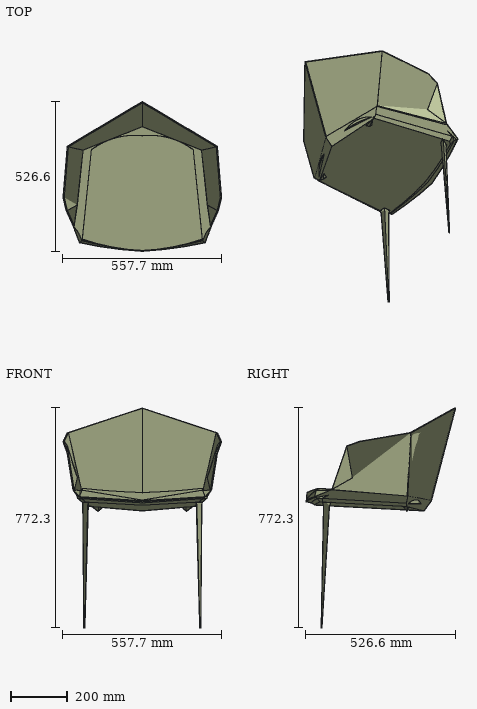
import cadquery as cq

WIDTH = 557.66
DEPTH = 526.59
HEIGHT = 772.32
HALF_WIDTH = WIDTH / 2
BACK_Y = DEPTH / 2
FRONT_Y = -DEPTH / 2

WALL_THICKNESS = 5.0
FOOT_SINK = 3.0

BACK_APEX = (0, BACK_Y, HEIGHT)
REAR_TIP = (264, 106, 685)
ARM_TIP = (HALF_WIDTH, -74, 654)
ARM_NOSE = (268, -119, 638)
ARM_FOOT = (244, -172, 486)
SIDE_DENT = (233, -100, 527)
REAR_FOOT = (212, 95, 463)
BACK_FOOT = (0, 178.5, 448)

PAN_RINGS = [
    [(0, 152, 455), (196, 92, 465), (224, -198, 483), (212, -226, 484), (0, -261.5, 449)],
    [BACK_FOOT, REAR_FOOT, ARM_FOOT, (221, -233, 461), (0, FRONT_Y, 447)],
    [(0, 172, 438), (198, 92, 447), (231, -184, 466), (217, -231, 458), (0, -262, 443)],
    [(0, 164, 427), (194, 90, 438), (227, -206, 455), (214, -222, 454), (0, -244, 439)],
    [(0, 152, 410.5), (184, 90, 426.5), (212, -204, 442), (198, -214, 442), (0, -231, 431)],
]
FRONT_BULGE = 4.5

CUSHION_TOP_BACK = [(0, 143, 458), (115, 129, 465), (179, 94, 471)]
CUSHION_TOP_FRONT = [(0, -260, 475.5), (108, -247.5, 481), (211, -220, 490.5)]
CUSHION_LOW_FRONT = [(0, -261, 446), (108, -248, 464), (211, -225, 481)]
CUSHION_LOW_BACK_Z = 436

COLLAR_TOP = [(211, -173, 446), (190, -207, 446), (189, -180, 446)]
LEG_TOP = [(209.5, -180, 430), (192, -201.5, 430), (189.5, -183, 430)]
LEG_FOOT = [(206, -206.5, 0), (202.5, -210, 0), (201.5, -207, 0)]

ROOT_TIP = (155, 92, 409)
ROOT_BASE = [(138, 98, 425), (186, 92, 432), (152, 78, 428)]


def vector(point):
    return cq.Vector(*point)


def edge(points):
    """Straight edge through two points or arc through three."""
    ends = [vector(p) for p in points]
    if len(ends) == 2:
        return cq.Edge.makeLine(*ends)
    return cq.Edge.makeThreePointArc(*ends)


def patch(first, second):
    """Ruled face between two edges that run the same way."""
    return cq.Face.makeRuledSurface(edge(first), edge(second))


def polygon(points):
    return cq.Face.makeFromWires(cq.Wire.makePolygon([vector(p) for p in points], close=True))


def solid(faces):
    """Solid inside a closed set of faces, turned so that its faces point outward."""
    body = cq.Solid.makeSolid(cq.Shell.makeShell(faces))
    return cq.Solid(body.fix().wrapped)


def facet_normal(a, b, c):
    """Unit normal of a triangle, outward for the corner order used in the wall."""
    return (vector(b) - vector(a)).cross(vector(c) - vector(a)).normalized()


def wall():
    """Thin faceted shell: back panel, arm panel and the rim that joins both skins."""
    arm_corners = [REAR_TIP, ARM_TIP, ARM_NOSE, ARM_FOOT, REAR_FOOT]
    arm_facets = [
        (SIDE_DENT, a, b) for a, b in zip(arm_corners, arm_corners[1:] + arm_corners[:1])
    ]
    facets = arm_facets + [
        (BACK_APEX, REAR_TIP, REAR_FOOT),
        (BACK_APEX, REAR_FOOT, BACK_FOOT),
    ]

    feet = [BACK_FOOT, REAR_FOOT, ARM_FOOT]

    def inner(point):
        """Matching corner of the inner skin; the back centre line stays on X = 0."""
        normals = [facet_normal(*f) for f in facets if point in f]
        total = sum(normals, cq.Vector())
        moved = vector(point) - total.normalized() * WALL_THICKNESS
        sink = FOOT_SINK if point in feet else 0
        return (moved.x if point[0] else 0, moved.y, min(moved.z, HEIGHT) - sink)

    def outer(point):
        return point

    faces = []
    for skin in (outer, inner):
        faces.append(
            patch([skin(BACK_APEX), skin(REAR_TIP)], [skin(BACK_FOOT), skin(REAR_FOOT)])
        )
        faces += [polygon([skin(p) for p in facet]) for facet in arm_facets]
    border = [BACK_APEX, REAR_TIP, ARM_TIP, ARM_NOSE, ARM_FOOT, REAR_FOOT, BACK_FOOT]
    for a, b in zip(border, border[1:] + border[:1]):
        faces.append(patch([a, b], [inner(a), inner(b)]))
    return solid(faces)


def ring_edges(ring):
    """Edges of one ring from back to front, the last one an arc."""
    back, rear, arm, front, centre = ring
    middle = (
        (front[0] + centre[0]) / 2,
        (front[1] + centre[1]) / 2 - FRONT_BULGE,
        (front[2] + centre[2]) / 2,
    )
    return [[back, rear], [rear, arm], [arm, front], [front, middle, centre]]


def pan():
    """Seat pan: bands between the rings, closed on top, below and on the centre plane."""
    faces = []
    for upper, lower in zip(PAN_RINGS, PAN_RINGS[1:]):
        for high, low in zip(ring_edges(upper), ring_edges(lower)):
            faces.append(patch(high, low))
    for ring in (PAN_RINGS[0], PAN_RINGS[-1]):
        back, rear, arm, front, _ = ring
        front_arc = ring_edges(ring)[-1]
        faces.append(patch([rear, back], front_arc))
        faces.append(polygon([rear, arm, front]))
    backs = [ring[0] for ring in PAN_RINGS]
    fronts = [ring[-1] for ring in PAN_RINGS]
    faces.append(polygon(backs + fronts[::-1]))
    return solid(faces)


def cushion():
    """Pad on the pan, closed by side faces and sunk into the pan below."""
    low_back = [(x, y, CUSHION_LOW_BACK_Z) for x, y, _ in CUSHION_TOP_BACK]
    rails = [CUSHION_TOP_BACK, CUSHION_TOP_FRONT, CUSHION_LOW_FRONT, low_back]
    faces = [patch(a, b) for a, b in zip(rails, rails[1:] + rails[:1])]
    for end in (0, -1):
        corners = [rail[end] for rail in rails]
        faces.append(patch(corners[:2], corners[:1:-1]))
    return solid(faces)


def taper(top, bottom):
    """Solid between two triangular sections."""
    wires = [cq.Wire.makePolygon([vector(p) for p in s], close=True) for s in (top, bottom)]
    return cq.Solid.makeLoft(wires, True)


def front_leg():
    """Short collar under the pan and the long shank below it."""
    return taper(COLLAR_TOP, LEG_TOP).fuse(taper(LEG_TOP, LEG_FOOT))


def rear_leg_root():
    """Pyramid pointing down from the underside of the pan."""
    a, b, c = ROOT_BASE
    triangles = [(a, b, c), (a, b, ROOT_TIP), (b, c, ROOT_TIP), (c, a, ROOT_TIP)]
    return solid([polygon(corners) for corners in triangles])


half = pan().fuse(wall(), cushion(), front_leg(), rear_leg_root())
chair = half.fuse(half.mirror("YZ"))
result = cq.Workplane(chair.Solids()[0])